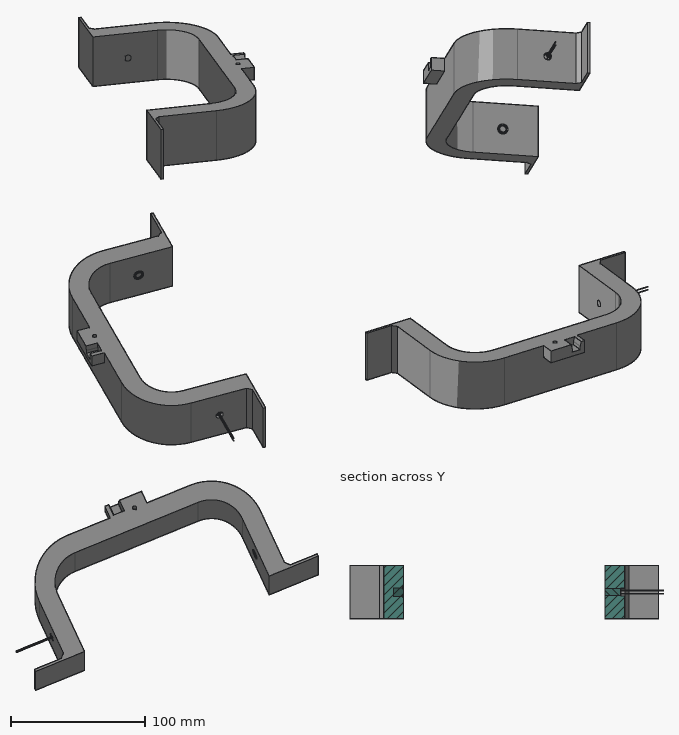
import cadquery as cq

overall_length = 233.8
foot_span = 230.0
frame_width = 180.0
frame_depth = 90.0
frame_height = 40.0
wall = 15.0
outer_radius = 40.0
inner_radius = outer_radius - wall
mid_height = frame_height / 2

foot_thickness = 2.0
gusset_width = 3.0
gusset_depth = 3.5

block_width = 30.0
block_size = 10.0
pocket_right = -3.0
pocket_width = 9.0
pocket_length = 9.1
pocket_taper_inset = 1.0
pocket_taper_depth = 3.7
pocket_depth = 6.5
top_hole_diameter = 3.0
top_hole_depth = 7.0
top_hole_x = 5.0

beam_y = 27.1
emitter_hole_diameter = 5.5
emitter_diameter = 5.0
emitter_flat_distance = 1.9
emitter_recess = 3.0
emitter_length = wall - emitter_recess
sensor_seat_diameter = 7.7
sensor_diameter = 6.0
sensor_lens_diameter = 5.0
sensor_seat_depth = 0.5
sensor_depth = 7.5

lead_diameter = 0.5
lead_pitch = 2.5

outer_half = frame_width / 2
inner_half = outer_half - wall
foot_half = foot_span / 2
lead_tip_x = foot_half - overall_length
emitter_base_x = emitter_recess - outer_half
sensor_face_x = inner_half + sensor_seat_depth


def box(x_min, x_max, y_min, y_max, z_min, z_max):
    """Box given by its limits along each axis."""
    size = (x_max - x_min, y_max - y_min, z_max - z_min)
    return cq.Workplane("XY").box(*size, centered=False).translate((x_min, y_min, z_min))


def rod(diameter, x_min, x_max, y=beam_y, z=mid_height):
    """Cylinder along X."""
    return cq.Workplane("YZ", origin=(x_min, y, z)).circle(diameter / 2).extrude(x_max - x_min)


def make_arch():
    outer = box(-outer_half, outer_half, 0, frame_depth, 0, frame_height)
    opening = box(-inner_half, inner_half, 0, frame_depth - wall, 0, frame_height)
    outer = outer.edges("|Z and >Y").fillet(outer_radius)
    opening = opening.edges("|Z and >Y").fillet(inner_radius)
    return outer.cut(opening)


def make_right_foot():
    """Foot profile, from the inner face of the right leg out to the foot tip."""
    gusset_top = foot_thickness + gusset_depth
    return (
        cq.Workplane("XY")
        .moveTo(inner_half, 0)
        .lineTo(foot_half, 0)
        .lineTo(foot_half, foot_thickness)
        .lineTo(outer_half + gusset_width, foot_thickness)
        .lineTo(outer_half, gusset_top)
        .lineTo(inner_half, gusset_top)
        .close()
        .extrude(frame_height)
    )


def make_block():
    return box(
        -block_width / 2, block_width / 2,
        frame_depth - wall / 2, frame_depth + block_size,
        frame_height - block_size, frame_height,
    )


def make_pocket():
    """Pocket open at the top and the back: tapered side walls above straight ones."""
    pocket_left = pocket_right - pocket_width
    floor_z = frame_height - pocket_depth
    taper_z = frame_height - pocket_taper_depth
    back_y = frame_depth + block_size
    return (
        cq.Workplane("XZ", origin=(0, back_y, 0))
        .moveTo(pocket_left, frame_height)
        .lineTo(pocket_right, frame_height)
        .lineTo(pocket_right - pocket_taper_inset, taper_z)
        .lineTo(pocket_right - pocket_taper_inset, floor_z)
        .lineTo(pocket_left + pocket_taper_inset, floor_z)
        .lineTo(pocket_left + pocket_taper_inset, taper_z)
        .close()
        .extrude(pocket_length)
    )


def make_top_hole():
    return (
        cq.Workplane("XY", origin=(top_hole_x, frame_depth, frame_height))
        .circle(top_hole_diameter / 2)
        .extrude(-top_hole_depth)
    )


def make_emitter():
    """Round emitter with a flat along its -Y side."""
    end_x = emitter_base_x + emitter_length
    flat_y = beam_y - emitter_flat_distance
    beyond_flat = box(emitter_base_x, end_x, flat_y - emitter_diameter, flat_y, 0, frame_height)
    return rod(emitter_diameter, emitter_base_x, end_x).cut(beyond_flat)


def make_lead(side):
    """One wire lead, from its free tip to the emitter base, above or below the beam axis."""
    return rod(lead_diameter, lead_tip_x, emitter_base_x, z=mid_height + side * lead_pitch / 2)


def make_sensor():
    """Round sensor at the bottom of its shallow seat, with a lens that comes flush with the leg."""
    body = rod(sensor_diameter, sensor_face_x, inner_half + sensor_depth)
    lens = rod(sensor_lens_diameter, inner_half, sensor_face_x)
    return body.union(lens)


def make_housing():
    right_foot = make_right_foot()
    housing = make_arch().union(right_foot).union(right_foot.mirror("YZ")).union(make_block())
    housing = housing.cut(make_pocket()).cut(make_top_hole())
    emitter_recess_hole = rod(emitter_hole_diameter, -outer_half, emitter_base_x)
    sensor_seat = rod(sensor_seat_diameter, inner_half, sensor_face_x)
    housing = housing.cut(emitter_recess_hole).cut(sensor_seat)
    return housing.cut(make_emitter()).cut(make_sensor())


housing = make_housing()
emitter = make_emitter()
sensor = make_sensor()
leads = [make_lead(side).val() for side in (-1, 1)]

result = cq.Compound.makeCompound([housing.val(), emitter.val(), sensor.val(), *leads])